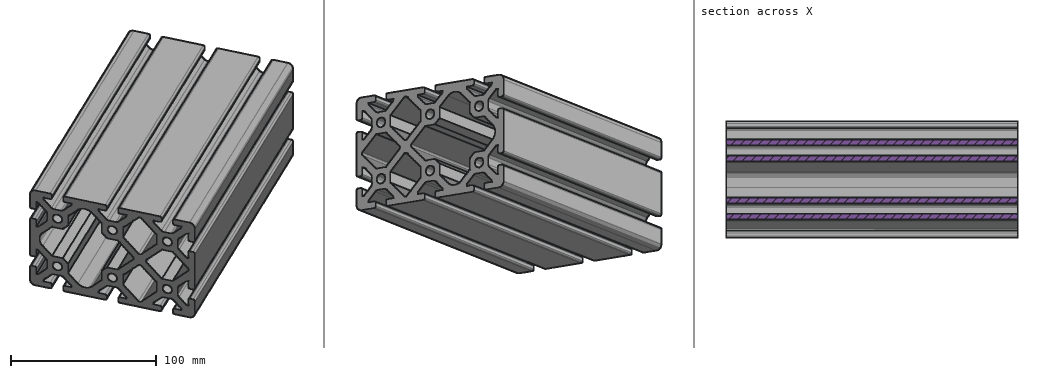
import cadquery as cq
import math

MODULE = 40.0
COLUMNS = 3
ROWS = 2
LENGTH = 200.0
CORNER_RADIUS = 4.0
WIDTH = COLUMNS * MODULE
HEIGHT = ROWS * MODULE
HALF_MODULE = MODULE / 2

BORE_DIAMETER = 6.8
CORE_HALF = 7.75
CORE_FLAT_HALF = 3.9

SLOT_OPENING = 8.25
SLOT_DEPTH = 12.5
SLOT_INNER_HALF = 10.2
SLOT_FLOOR_HALF = 3.6
LIP_THICKNESS = 4.75
LIP_RADIUS = 1.4
SLOT_NOSE_RADIUS = 1.25
SLOT_FLOOR_RADIUS = 3.0
SLOT_WALL_END = SLOT_DEPTH + SLOT_FLOOR_HALF - SLOT_INNER_HALF

CAVITY_HALF = HALF_MODULE - CORE_HALF
CAVITY_TIP = CAVITY_HALF + CORE_FLAT_HALF
SMALL_TIP_RADIUS = 1.5
LARGE_TIP_RADIUS = 7.5

UP = 0
RIGHT = 90
DOWN = 180
LEFT = -90

CORE_X = [(column + 0.5) * MODULE - WIDTH / 2 for column in range(COLUMNS)]
CORE_Z = [(row + 0.5) * MODULE - HEIGHT / 2 for row in range(ROWS)]

SLOTS = [(UP, x, HEIGHT / 2) for x in CORE_X]
SLOTS += [(DOWN, x, -HEIGHT / 2) for x in CORE_X]
SLOTS += [(RIGHT, WIDTH / 2, z) for z in CORE_Z]
SLOTS += [(LEFT, -WIDTH / 2, z) for z in CORE_Z]


def prism(points):
    """Closed XZ outline extruded over the full length."""
    return cq.Workplane("XZ").polyline(points).close().extrude(LENGTH / 2, both=True)


def place(body, turn, x, z):
    """Turn a body about Y, then move it to (x, z)."""
    return body.rotate((0, 0, 0), (0, 1, 0), turn).translate((x, 0, z))


def place_point(point, turn, x, z):
    """Turn and move one (x, z) point in the same way as place()."""
    cosine = math.cos(math.radians(turn))
    sine = math.sin(math.radians(turn))
    u, v = point
    return (x + u * cosine + v * sine, z - u * sine + v * cosine)


def round_edges(body, points, radius):
    """Round the lengthwise edges that pass through the given (x, z) points."""
    for x, z in points:
        body = body.edges(cq.selectors.NearestToPointSelector((x, 0, z))).fillet(radius)
    return body


def make_blank():
    """Full block with rounded lengthwise corners."""
    return cq.Workplane("XY").box(WIDTH, LENGTH, HEIGHT).edges("|Y").fillet(CORNER_RADIUS)


def make_slot():
    """T-slot that opens upward through the plane z = 0."""
    chamber = prism([
        (-SLOT_INNER_HALF, -LIP_THICKNESS),
        (SLOT_INNER_HALF, -LIP_THICKNESS),
        (SLOT_INNER_HALF, -SLOT_WALL_END),
        (SLOT_FLOOR_HALF, -SLOT_DEPTH),
        (-SLOT_FLOOR_HALF, -SLOT_DEPTH),
        (-SLOT_INNER_HALF, -SLOT_WALL_END),
    ])
    noses = [(side * SLOT_INNER_HALF, -SLOT_WALL_END) for side in (-1, 1)]
    floor_corners = [(side * SLOT_FLOOR_HALF, -SLOT_DEPTH) for side in (-1, 1)]
    chamber = round_edges(chamber, noses, SLOT_NOSE_RADIUS)
    chamber = round_edges(chamber, floor_corners, SLOT_FLOOR_RADIUS)
    opening = cq.Workplane("XY").box(SLOT_OPENING, LENGTH, LIP_THICKNESS)
    return chamber.union(opening.translate((0, 0, -LIP_THICKNESS / 2)))


def cut_slots(body):
    """Cut every T-slot and round the outer and inner edges of its lips."""
    slot = make_slot()
    lip_x = SLOT_OPENING / 2
    lip_edges = [(side * lip_x, -depth) for side in (-1, 1) for depth in (0, LIP_THICKNESS)]
    for turn, x, z in SLOTS:
        body = body.cut(place(slot, turn, x, z))
        placed_edges = [place_point(edge, turn, x, z) for edge in lip_edges]
        body = round_edges(body, placed_edges, LIP_RADIUS)
    return body


def make_diamond(top_radius):
    """Six-sided cavity: rounded tips up and down, core faces left and right."""
    diamond = prism([
        (CAVITY_HALF, -CORE_FLAT_HALF),
        (CAVITY_HALF, CORE_FLAT_HALF),
        (0, CAVITY_TIP),
        (-CAVITY_HALF, CORE_FLAT_HALF),
        (-CAVITY_HALF, -CORE_FLAT_HALF),
        (0, -CAVITY_TIP),
    ])
    diamond = round_edges(diamond, [(0, CAVITY_TIP)], top_radius)
    return round_edges(diamond, [(0, -CAVITY_TIP)], SMALL_TIP_RADIUS)


def cut_small_cavities(body):
    """Three separate cavities around the crossed webs at the +X end."""
    crossing_x = MODULE / 2
    diamond = make_diamond(SMALL_TIP_RADIUS)
    body = body.cut(place(diamond, UP, crossing_x, HALF_MODULE))
    body = body.cut(place(diamond, DOWN, crossing_x, -HALF_MODULE))
    return body.cut(place(diamond, RIGHT, crossing_x + HALF_MODULE, 0))


def cut_large_cavity(body):
    """One cavity at the -X end: four diamonds joined where the webs are left out."""
    crossing_x = -MODULE / 2
    wide_tipped = make_diamond(LARGE_TIP_RADIUS)
    body = body.cut(place(wide_tipped, UP, crossing_x, HALF_MODULE))
    body = body.cut(place(wide_tipped, DOWN, crossing_x, -HALF_MODULE))
    body = body.cut(place(wide_tipped, LEFT, crossing_x - HALF_MODULE, 0))
    body = body.cut(place(make_diamond(SMALL_TIP_RADIUS), RIGHT, crossing_x + HALF_MODULE, 0))

    far = HALF_MODULE - CORE_FLAT_HALF
    near = CAVITY_HALF
    middle = prism([
        (far, near),
        (near, far),
        (-near, far),
        (-far, near),
        (-far, -near),
        (-near, -far),
        (near, -far),
        (far, -near),
    ])
    return body.cut(place(middle, UP, crossing_x, 0))


def cut_bores(body):
    """Round bore through the middle of every module."""
    centres = [(x, z) for x in CORE_X for z in CORE_Z]
    bores = cq.Workplane("XZ").pushPoints(centres).circle(BORE_DIAMETER / 2)
    return body.cut(bores.extrude(LENGTH / 2, both=True))


result = cut_slots(make_blank())
result = cut_small_cavities(result)
result = cut_large_cavity(result)
result = cut_bores(result)